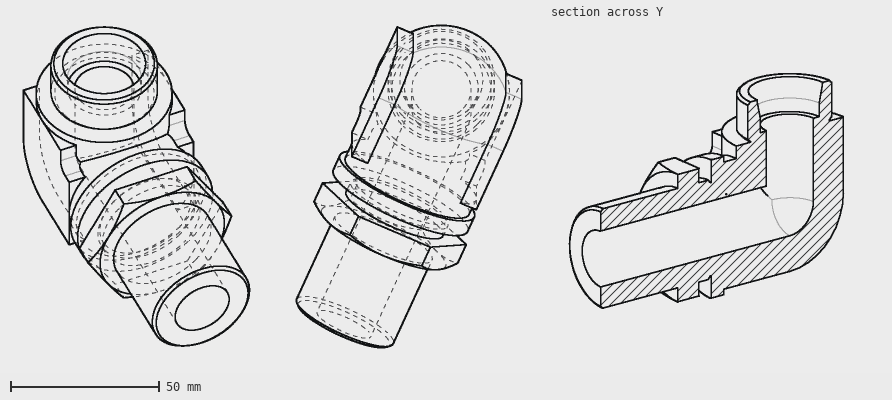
import cadquery as cq
import math

body_diameter = 46.0
body_radius = body_diameter / 2
body_top = 27.5

pad_half_size = body_diameter / 3
pad_top = 24.1
pad_end = 22.5
pad_notch_radius = 3.8

flange_diameter = 50.0
flange_start = 28.2
flange_end = 33.8

thread_diameter = 36.0
thread_radius = thread_diameter / 2
relief_depth = 1.2
relief_length = 1.2
relief_radius = thread_radius - relief_depth
inlet_top = 42.0
bulkhead_end = 81.0
end_chamfer = 1.0

nut_sides = 6
nut_across_flats = 46.0
nut_start = 38.8
nut_end = 48.0
nut_chamfer_angle = 30.0

bore_diameter = 20.0
socket_diameter = 25.0
socket_depth = 12.0
cone_mouth_diameter = 28.0
cone_half_angle = 12.0


def cylinder_z(diameter, start, end):
    return cq.Workplane("XY").workplane(offset=start).circle(diameter / 2).extrude(end - start)


def cylinder_x(diameter, start, end):
    return cq.Workplane("YZ").workplane(offset=start).circle(diameter / 2).extrude(end - start)


def revolve_z(profile):
    """Turn an (r, z) outline about the Z axis."""
    return cq.Workplane("XZ").polyline(profile).close().revolve(360, (0, 0), (0, 1))


def along_x(shape):
    """Turn a shape built along +Z so that it points along +X."""
    return shape.rotate((0, 0, 0), (0, 1, 0), 90)


def elbow(diameter, z_end, x_end):
    """Two cylinders from the origin, joined by a ball of the same diameter."""
    ball = cq.Workplane("XY").sphere(diameter / 2)
    return ball.union(cylinder_z(diameter, 0, z_end)).union(cylinder_x(diameter, 0, x_end))


def threaded_end(start, end):
    """Spigot along +Z with a tapered relief at its root and a chamfered tip."""
    profile = [
        (0, start),
        (relief_radius, start),
        (thread_radius, start + relief_length),
        (thread_radius, end - end_chamfer),
        (thread_radius - end_chamfer, end),
        (0, end),
    ]
    return revolve_z(profile)


def wrench_pads():
    corner_mid = pad_half_size * math.sqrt(0.5)
    return (
        cq.Workplane("XZ")
        .moveTo(-pad_half_size, 0)
        .threePointArc((-corner_mid, -corner_mid), (0, -pad_half_size))
        .lineTo(pad_end, -pad_half_size)
        .lineTo(pad_end, pad_half_size)
        .lineTo(pad_half_size + pad_notch_radius, pad_half_size)
        .radiusArc((pad_half_size, pad_half_size + pad_notch_radius), pad_notch_radius)
        .lineTo(pad_half_size, pad_top)
        .lineTo(-pad_half_size, pad_top)
        .close()
        .extrude(body_radius, both=True)
    )


def lock_nut():
    """Hexagon with corners on the Y axis; the outer face is chamfered to a cone."""
    flat_radius = nut_across_flats / 2
    corner_radius = flat_radius / math.cos(math.pi / nut_sides)
    cone_length = (corner_radius - flat_radius) * math.tan(math.radians(nut_chamfer_angle))
    hexagon = (
        cq.Workplane("YZ")
        .workplane(offset=nut_start)
        .polygon(nut_sides, 2 * corner_radius)
        .extrude(nut_end - nut_start)
    )
    envelope_profile = [
        (0, nut_start),
        (corner_radius, nut_start),
        (corner_radius, nut_end - cone_length),
        (flat_radius, nut_end),
        (0, nut_end),
    ]
    envelope = revolve_z(envelope_profile)
    return hexagon.intersect(along_x(envelope))


def inlet_socket():
    """Cone at the mouth running into a straight counterbore."""
    mouth_radius = cone_mouth_diameter / 2
    socket_radius = socket_diameter / 2
    cone_depth = (mouth_radius - socket_radius) / math.tan(math.radians(cone_half_angle))
    profile = [
        (0, inlet_top),
        (mouth_radius, inlet_top),
        (socket_radius, inlet_top - cone_depth),
        (socket_radius, inlet_top - socket_depth),
        (0, inlet_top - socket_depth),
    ]
    return revolve_z(profile)


result = (
    elbow(body_diameter, body_top, flange_start)
    .union(wrench_pads())
    .union(cylinder_x(flange_diameter, flange_start, flange_end))
    .union(threaded_end(body_top, inlet_top))
    .union(along_x(threaded_end(flange_end, bulkhead_end)))
    .union(lock_nut())
    .cut(elbow(bore_diameter, inlet_top, bulkhead_end))
    .cut(inlet_socket())
)